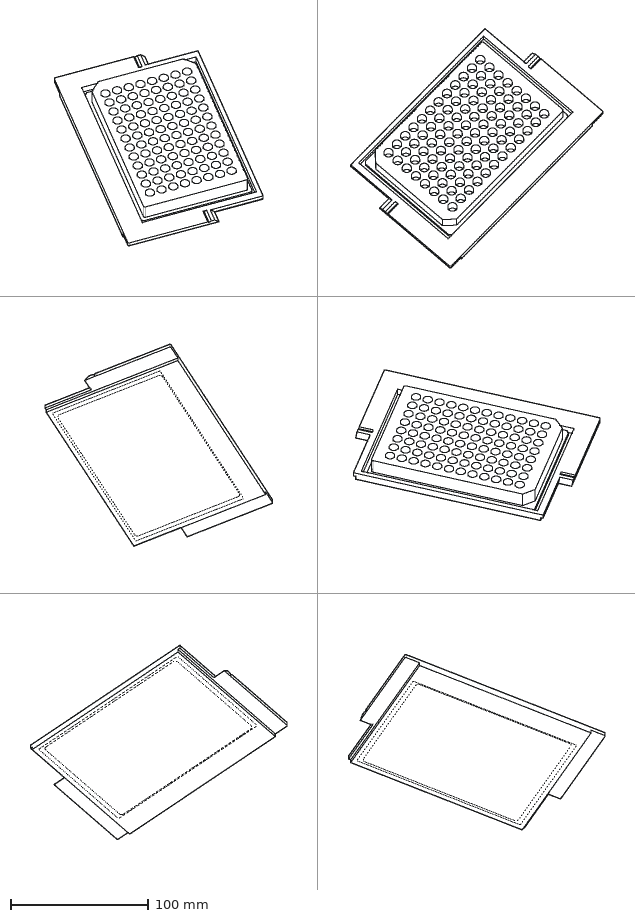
import cadquery as cq

carrier_width = 165.0
carrier_depth = 107.5
carrier_height = 6.3
wing_thickness = 3.3
wing_underside = carrier_height - wing_thickness
keel_width = 141.2
tail_width = 144.9
corner_radius = 1.0

wing_tip_y = 70.1
groove_back_y = 64.2
groove_width = 2.8
groove_bottom_offset = 1.8
groove_depth = 1.0
groove_inner_x = 71.8

pocket_width = 134.6
pocket_front_y = 16.2
pocket_back_wall = 3.3
pocket_back_y = carrier_depth - pocket_back_wall
pocket_floor = 0.8

plate_center_y = 59.7
plate_top = 15.2
skirt_width = 127.7
skirt_depth = 85.5
skirt_height = 2.5
skirt_chamfer = 1.6
skirt_radius = 2.1
block_left_x = -61.7
block_right_x = 61.2
block_depth = 80.4
block_chamfer = 7.3
block_radius = 1.3

well_columns = 12
well_rows = 8
first_to_last_column = 99.0
well_pitch = first_to_last_column / (well_columns - 1)
well_diameter = 6.8
well_depth = 10.7


def box_between(x_min, x_max, y_min, y_max, z_min, z_max):
    """Axis-aligned box given by its limits."""
    size = (x_max - x_min, y_max - y_min, z_max - z_min)
    return cq.Workplane("XY").box(*size, centered=False).translate((x_min, y_min, z_min))


def extrude_along_x(profile, x_min, x_max):
    """Prism with a (y, z) profile running from x_min to x_max."""
    return cq.Workplane("YZ").workplane(offset=x_min).polyline(profile).close().extrude(x_max - x_min)


def make_wings():
    """Front slab across the full width, with sloped +Y ends and rounded front corners."""
    profile = [
        (0, wing_underside),
        (wing_tip_y, wing_underside),
        (wing_tip_y - wing_thickness, carrier_height),
        (0, carrier_height),
    ]
    wings = extrude_along_x(profile, -carrier_width / 2, carrier_width / 2)
    return wings.edges("|Z and <Y").fillet(corner_radius)


def make_groove(x_min, x_max):
    """Unequal V groove across the top of one wing."""
    profile = [
        (groove_back_y, carrier_height),
        (groove_back_y - groove_bottom_offset, carrier_height - groove_depth),
        (groove_back_y - groove_width, carrier_height),
    ]
    return extrude_along_x(profile, x_min, x_max)


def make_carrier():
    keel = box_between(-keel_width / 2, keel_width / 2, 0, carrier_depth, 0, carrier_height)
    tail = box_between(
        -tail_width / 2, tail_width / 2, wing_tip_y - wing_thickness, carrier_depth,
        wing_underside, carrier_height,
    )
    pocket = box_between(
        -pocket_width / 2, pocket_width / 2, pocket_front_y, pocket_back_y,
        pocket_floor, carrier_height,
    )
    carrier = make_wings().union(tail).union(keel).cut(pocket)
    carrier = carrier.cut(make_groove(-carrier_width / 2, -groove_inner_x))
    return carrier.cut(make_groove(groove_inner_x, carrier_width / 2))


def make_plate_layer(x_min, x_max, depth, z_min, z_max, left_chamfer, right_radius):
    """Slab with chamfered -X corners and rounded +X corners."""
    y_min = plate_center_y - depth / 2
    layer = box_between(x_min, x_max, y_min, y_min + depth, z_min, z_max)
    layer = layer.edges("|Z and <X").chamfer(left_chamfer)
    return layer.edges("|Z and >X").fillet(right_radius)


def make_well_plate():
    skirt = make_plate_layer(
        -skirt_width / 2, skirt_width / 2, skirt_depth,
        pocket_floor, pocket_floor + skirt_height, skirt_chamfer, skirt_radius,
    )
    block = make_plate_layer(
        block_left_x, block_right_x, block_depth,
        pocket_floor, plate_top, block_chamfer, block_radius,
    )
    wells = (
        cq.Workplane("XY", origin=(0, plate_center_y, plate_top))
        .rarray(well_pitch, well_pitch, well_columns, well_rows)
        .circle(well_diameter / 2)
        .extrude(-well_depth)
    )
    return skirt.union(block).cut(wells)


carrier = make_carrier()
well_plate = make_well_plate()

result = cq.Compound.makeCompound([carrier.val(), well_plate.val()])